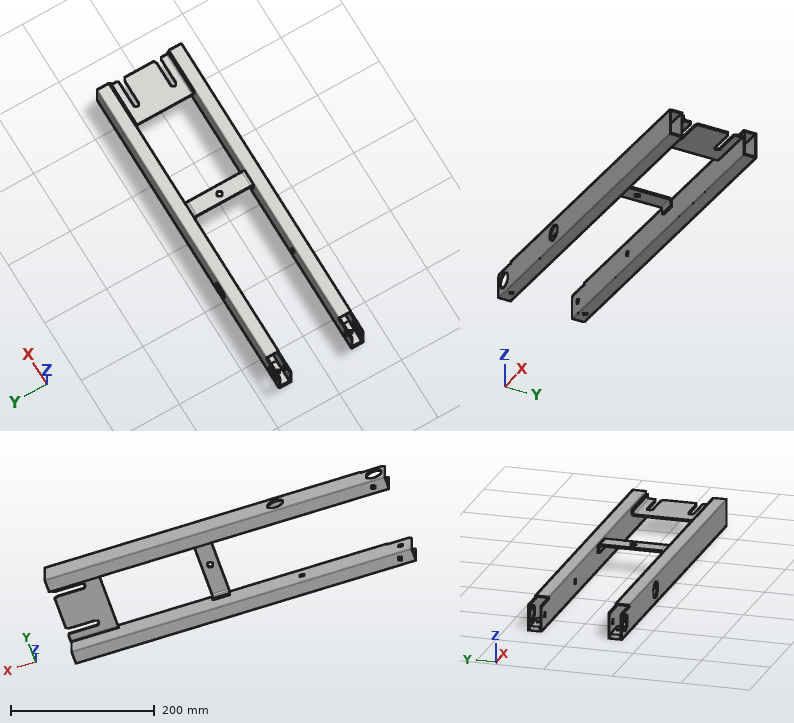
import cadquery as cq

FRAME_LENGTH = 500.0
FRAME_WIDTH = 137.0
RAIL_WIDTH = 20.0
RAIL_HEIGHT = 40.0
RAIL_WALL = 2.0
RAIL_CORNER_RADIUS = 1.0

MOUTH_LENGTH = 35.0
MOUTH_DEPTH = 3.0
MOUTH_CORNER_RADIUS = 4.0

SIDE_HOLE_X = (16.0, 161.0)
SIDE_HOLE_Z = RAIL_HEIGHT / 2
ACCESS_HOLE_DIAMETER = 23.0
BOLT_HOLE_DIAMETER = 7.0

PAD_LENGTH = MOUTH_LENGTH
PAD_THICKNESS = 5.0
PAD_SIDE_GAP = 1.0
PAD_HOLE_X = 20.0
PAD_HOLE_DIAMETER = 6.0

INNER_HALF_WIDTH = FRAME_WIDTH / 2 - RAIL_WIDTH

STRAP_SHEET = 3.0
STRAP_BEND_RADIUS = 5.0
STRAP_START_X = 267.0
STRAP_WIDTH = 25.0
STRAP_HEIGHT = 13.0
STRAP_HOLE_DIAMETER = 8.0

PLATE_SHEET = 2.5
PLATE_BEND_RADIUS = 4.5
PLATE_LENGTH = 70.0
PLATE_BOTTOM_Z = 27.0
PLATE_HEIGHT = 8.5
SLOT_OFFSET_Y = 30.0
SLOT_WIDTH = 8.0
SLOT_LENGTH = 46.5
SLOT_CHAMFER_LENGTH = 5.0
SLOT_CHAMFER_DEPTH = 2.0
SLOT_LIP_RADIUS = 3.0


def cross_hole(diameter, x, z, y_start, depth):
    """Cylinder along +Y starting at y_start."""
    axis_start = cq.Vector(x, y_start, z)
    return cq.Workplane(cq.Solid.makeCylinder(diameter / 2, depth, axis_start, cq.Vector(0, 1, 0)))


def make_rail():
    """The -Y rail: a rectangular tube, open-topped at its -X end."""
    outer_y = -FRAME_WIDTH / 2
    inner_y = outer_y + RAIL_WIDTH
    cavity_width = RAIL_WIDTH - 2 * RAIL_WALL
    middle_y = (outer_y + inner_y) / 2

    rail = (
        cq.Workplane("XY")
        .box(FRAME_LENGTH, RAIL_WIDTH, RAIL_HEIGHT, centered=False)
        .edges("|X")
        .fillet(RAIL_CORNER_RADIUS)
    )
    cavity = (
        cq.Workplane("XY")
        .box(FRAME_LENGTH, cavity_width, RAIL_HEIGHT - 2 * RAIL_WALL, centered=False)
        .translate((0, RAIL_WALL, RAIL_WALL))
    )
    mouth = (
        cq.Workplane("XY")
        .box(MOUTH_LENGTH, RAIL_WIDTH, MOUTH_DEPTH, centered=False)
        .translate((0, 0, RAIL_HEIGHT - MOUTH_DEPTH))
    )
    rail = rail.cut(mouth).faces("<X").edges(">Z").fillet(MOUTH_CORNER_RADIUS)
    rail = rail.cut(cavity).translate((0, outer_y, 0))

    pad_width = cavity_width - 2 * PAD_SIDE_GAP
    pad = (
        cq.Workplane("XY")
        .box(PAD_LENGTH, pad_width, PAD_THICKNESS, centered=(False, True, False))
        .translate((0, middle_y, RAIL_WALL))
    )
    pad_hole = (
        cq.Workplane("XY")
        .center(PAD_HOLE_X, middle_y)
        .circle(PAD_HOLE_DIAMETER / 2)
        .extrude(RAIL_WALL + PAD_THICKNESS)
    )
    rail = rail.union(pad).cut(pad_hole)

    for x in SIDE_HOLE_X:
        rail = rail.cut(cross_hole(ACCESS_HOLE_DIAMETER, x, SIDE_HOLE_Z, outer_y, RAIL_WALL))
        rail = rail.cut(cross_hole(BOLT_HOLE_DIAMETER, x, SIDE_HOLE_Z, inner_y - RAIL_WALL, RAIL_WALL))
    return rail


def make_channel(length, height, sheet, bend_radius, web_side):
    """Bent channel along X spanning the rails; web_side picks the web face, ">Z" or "<Z"."""
    outside = (
        cq.Workplane("XY")
        .box(length, 2 * INNER_HALF_WIDTH, height, centered=(False, True, False))
        .edges("|X")
        .edges(web_side)
        .fillet(bend_radius)
    )
    web_shift = sheet if web_side == "<Z" else -sheet
    inside = (
        cq.Workplane("XY")
        .box(length, 2 * (INNER_HALF_WIDTH - sheet), height, centered=(False, True, False))
        .edges("|X")
        .edges(web_side)
        .fillet(bend_radius - sheet)
        .translate((0, 0, web_shift))
    )
    return outside.cut(inside)


def make_strap():
    """Cross strap level with the rail tops, with one central hole."""
    hole = (
        cq.Workplane("XY")
        .center(STRAP_WIDTH / 2, 0)
        .circle(STRAP_HOLE_DIAMETER / 2)
        .extrude(STRAP_HEIGHT)
    )
    strap = make_channel(STRAP_WIDTH, STRAP_HEIGHT, STRAP_SHEET, STRAP_BEND_RADIUS, ">Z").cut(hole)
    return strap.translate((STRAP_START_X, 0, RAIL_HEIGHT - STRAP_HEIGHT))


def make_slot():
    """+Y slot along X: round at its closed end, chamfered toward the middle and rounded toward the rail."""
    half = SLOT_WIDTH / 2
    closed_x = PLATE_LENGTH - SLOT_LENGTH
    arc_x = closed_x + half
    return (
        cq.Workplane("XY")
        .moveTo(arc_x, -half)
        .lineTo(PLATE_LENGTH - SLOT_CHAMFER_LENGTH, -half)
        .lineTo(PLATE_LENGTH, -half - SLOT_CHAMFER_DEPTH)
        .lineTo(PLATE_LENGTH, half + SLOT_LIP_RADIUS)
        .radiusArc((PLATE_LENGTH - SLOT_LIP_RADIUS, half), SLOT_LIP_RADIUS)
        .lineTo(arc_x, half)
        .threePointArc((closed_x, 0), (arc_x, -half))
        .close()
        .extrude(PLATE_SHEET)
        .translate((0, SLOT_OFFSET_Y, 0))
    )


def make_end_plate():
    """Slotted plate at the +X end, carried by flanges that rise along the rails."""
    slot = make_slot()
    plate = make_channel(PLATE_LENGTH, PLATE_HEIGHT, PLATE_SHEET, PLATE_BEND_RADIUS, "<Z")
    plate = plate.cut(slot).cut(slot.mirror("XZ"))
    return plate.translate((FRAME_LENGTH - PLATE_LENGTH, 0, PLATE_BOTTOM_Z))


near_rail = make_rail()
far_rail = near_rail.mirror("XZ")
result = near_rail.union(far_rail).union(make_strap()).union(make_end_plate())